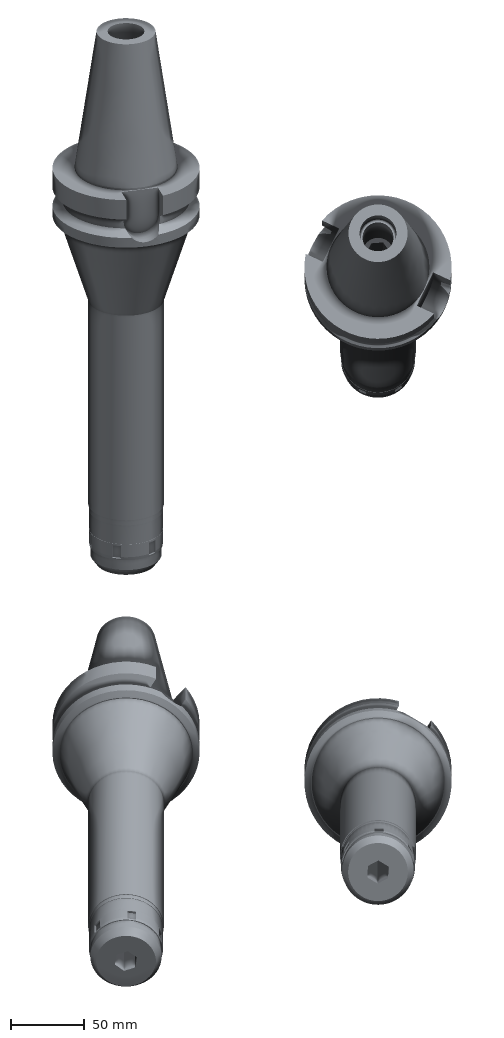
import math

import cadquery as cq


GAUGE_DIAMETER = 69.85
TAPER_LENGTH = 101.8
TAPER_RATIO = 7 / 24
GAUGE_RADIUS = GAUGE_DIAMETER / 2
SHANK_END_RADIUS = GAUGE_RADIUS - TAPER_LENGTH * TAPER_RATIO / 2

FLANGE_RADIUS = 50.0
FLANGE_TOP_Z = -1.5
FLANGE_BOTTOM_Z = -40.0
GROOVE_CENTRE_Z = -23.2
GROOVE_RADIUS = 43.2
GROOVE_FLOOR_WIDTH = 6.1
GROOVE_FLANK_ANGLE = 30.0
FLANGE_EDGE_DROP = 2.5
FLANGE_EDGE_INSET = 4.3
GROOVE_FLANK_RISE = (FLANGE_RADIUS - GROOVE_RADIUS) * math.tan(math.radians(GROOVE_FLANK_ANGLE))
GROOVE_HALF_FLOOR = GROOVE_FLOOR_WIDTH / 2
GROOVE_HALF_MOUTH = GROOVE_HALF_FLOOR + GROOVE_FLANK_RISE

KEY_SLOT_WIDTH = 25.7
KEY_SLOT_FLOOR_X = 35.4
KEY_SLOT_BOTTOM_Z = -34.2

NOSE_Z = -300.0
CONE_TOP_RADIUS = 45.0
CONE_BOTTOM_Z = -101.0
EXTENSION_RADIUS = 25.75

COLLAR_TOP = 44.0
COLLAR_RADIUS = 25.3
NUT_TOP = 39.9
NUT_RADIUS = 25.0
BAND_TOP = 25.4
BAND_BOTTOM = 15.7
BAND_RADIUS = 25.2
RIM_BOTTOM = 13.3
RIM_RADIUS = 24.9
NOSE_RADIUS = 24.2
NOSE_CHAMFER_HEIGHT = 5.5
NOSE_END_RADIUS = 20.3

NOTCH_COUNT = 6
NOTCH_WIDTH = 6.0
NOTCH_DEPTH = 1.6
NOTCH_BOTTOM = 14.4
NOTCH_TOP = 24.0

COUNTERBORE_DIAMETER = 25.0
COUNTERBORE_DEPTH = 13.0
THREAD_BORE_DIAMETER = 21.0
THREAD_BORE_DEPTH = 60.0
HEX_ACROSS_FLATS = 14.0


def turned_body():
    """Revolve the outer profile, listed from the shank end down to the nose."""
    profile = [
        (0, TAPER_LENGTH),
        (SHANK_END_RADIUS, TAPER_LENGTH),
        (GAUGE_RADIUS, 0),
        (GAUGE_RADIUS, FLANGE_TOP_Z),
        (FLANGE_RADIUS, FLANGE_TOP_Z),
        (FLANGE_RADIUS, GROOVE_CENTRE_Z + GROOVE_HALF_MOUTH),
        (GROOVE_RADIUS, GROOVE_CENTRE_Z + GROOVE_HALF_FLOOR),
        (GROOVE_RADIUS, GROOVE_CENTRE_Z - GROOVE_HALF_FLOOR),
        (FLANGE_RADIUS, GROOVE_CENTRE_Z - GROOVE_HALF_MOUTH),
        (FLANGE_RADIUS, FLANGE_BOTTOM_Z + FLANGE_EDGE_DROP),
        (FLANGE_RADIUS - FLANGE_EDGE_INSET, FLANGE_BOTTOM_Z),
        (CONE_TOP_RADIUS, FLANGE_BOTTOM_Z),
        (EXTENSION_RADIUS, CONE_BOTTOM_Z),
        (EXTENSION_RADIUS, NOSE_Z + COLLAR_TOP),
        (COLLAR_RADIUS, NOSE_Z + COLLAR_TOP),
        (COLLAR_RADIUS, NOSE_Z + NUT_TOP),
        (NUT_RADIUS, NOSE_Z + NUT_TOP),
        (NUT_RADIUS, NOSE_Z + BAND_TOP),
        (BAND_RADIUS, NOSE_Z + BAND_TOP),
        (BAND_RADIUS, NOSE_Z + BAND_BOTTOM),
        (RIM_RADIUS, NOSE_Z + RIM_BOTTOM),
        (NOSE_RADIUS, NOSE_Z + RIM_BOTTOM),
        (NOSE_RADIUS, NOSE_Z + NOSE_CHAMFER_HEIGHT),
        (NOSE_END_RADIUS, NOSE_Z),
        (0, NOSE_Z),
    ]
    return cq.Workplane("XZ").polyline(profile).close().revolve(360, (0, 0), (0, 1))


def key_slot(side):
    """Cutter for the drive slot on the +X (side = 1) or -X (side = -1) flank."""
    half_width = KEY_SLOT_WIDTH / 2
    arc_centre_z = KEY_SLOT_BOTTOM_Z + half_width
    return (
        cq.Workplane("YZ", origin=(side * KEY_SLOT_FLOOR_X, 0, 0))
        .moveTo(-half_width, FLANGE_TOP_Z)
        .lineTo(-half_width, arc_centre_z)
        .threePointArc((0, KEY_SLOT_BOTTOM_Z), (half_width, arc_centre_z))
        .lineTo(half_width, FLANGE_TOP_Z)
        .close()
        .extrude(side * FLANGE_RADIUS)
    )


def nut_notches():
    """Cutter for the wrench notches, the first of them on the -Y side."""
    floor_radius = BAND_RADIUS - NOTCH_DEPTH
    reach = 2 * NOTCH_DEPTH
    notch = (
        cq.Workplane("XY")
        .box(NOTCH_WIDTH, reach, NOTCH_TOP - NOTCH_BOTTOM, centered=(True, False, False))
        .translate((0, -floor_radius - reach, NOSE_Z + NOTCH_BOTTOM))
    )
    notches = cq.Workplane("XY")
    for index in range(NOTCH_COUNT):
        notches = notches.add(notch.rotate((0, 0, 0), (0, 0, 1), index * 360 / NOTCH_COUNT))
    return notches.combine()


def bore_step(diameter, depth):
    """Round bore cutter sunk from the shank end."""
    return cq.Workplane("XY", origin=(0, 0, TAPER_LENGTH)).circle(diameter / 2).extrude(-depth)


def hex_bore():
    """Hexagonal through-hole cutter with its flats facing +X and -X."""
    across_corners = HEX_ACROSS_FLATS / math.cos(math.pi / 6)
    return (
        cq.Workplane("XY", origin=(0, 0, NOSE_Z))
        .transformed(rotate=(0, 0, 90))
        .polygon(6, across_corners)
        .extrude(TAPER_LENGTH - NOSE_Z)
    )


result = turned_body()
for slot_side in (-1, 1):
    result = result.cut(key_slot(slot_side))
result = result.cut(nut_notches())
result = result.cut(bore_step(COUNTERBORE_DIAMETER, COUNTERBORE_DEPTH))
result = result.cut(bore_step(THREAD_BORE_DIAMETER, THREAD_BORE_DEPTH))
result = result.cut(hex_bore())